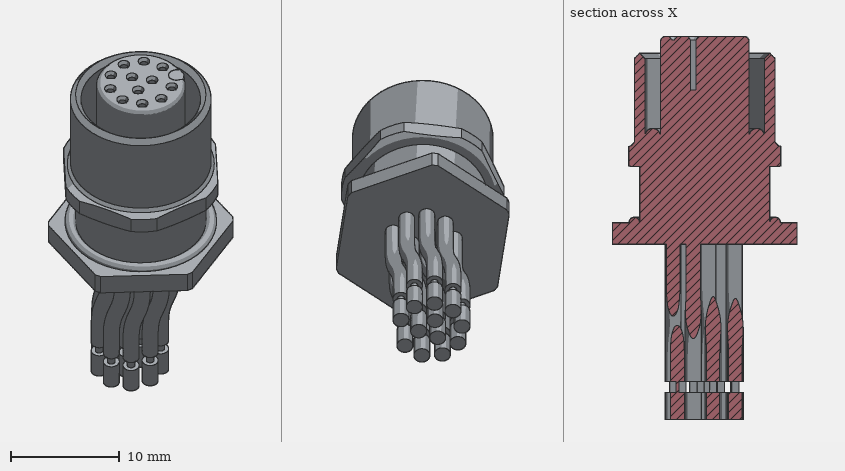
import cadquery as cq
import math

TOTAL_HEIGHT = 35.3
SLEEVE_TOP = 2.5
INSULATION_BOTTOM = 3.5
BEND_BOTTOM = 6.0
BEND_TOP = 12.0
FLANGE_BOTTOM = 16.13
FLANGE_THICKNESS = 2.0
FLANGE_TOP = FLANGE_BOTTOM + FLANGE_THICKNESS
NUT_BOTTOM = 23.3
NUT_THICKNESS = 1.95
NUT_TOP = NUT_BOTTOM + NUT_THICKNESS
BARREL_TOP = 33.75
BORE_FLOOR = 26.12

FLANGE_FLATS = 15.0
FLANGE_TURNED_RADIUS = 17.0 / 2
NECK_RADIUS = 12.0 / 2
SEAL_TUBE_RADIUS = 0.5

NUT_FLATS = 14.0
NUT_TURNED_RADIUS = 15.0 / 2
NUT_FACE_RADIUS = 6.78
NUT_CHAMFER_DROP = 0.2

BARREL_RADIUS = 13.0 / 2
BORE_RADIUS = 11.0 / 2
RIM_CHAMFER = 0.5
COLLAR_RADIUS = 6.78
COLLAR_HEIGHT = 0.32

INSERT_RADIUS = 8.2 / 2
INSERT_FILLET = 0.5
KEY_WIDTH = 1.4
KEY_CENTRE_RADIUS = 3.42
KEY_END_RADIUS = 4.02
KEY_HEIGHT = 1.0
KEY_ANGLE = 45.0
KEY_RECESS = 0.05

OUTER_PITCH_RADIUS = 2.93
OUTER_COUNT = 9
OUTER_STEP = 37.7
INNER_PITCH_RADIUS = 1.1
INNER_COUNT = 3
CONTACT_HOLE_RADIUS = 0.7 / 2
CONTACT_MOUTH_RADIUS = 1.05 / 2
CONTACT_MOUTH_DEPTH = 0.35
CONTACT_DEPTH = 4.95
WIRE_RADIUS = 1.5 / 2
CONDUCTOR_RADIUS = 0.7 / 2
WIRE_SHIFT = 1.15


def cylinder(radius, bottom, top):
    return cq.Workplane("XY").workplane(offset=bottom).circle(radius).extrude(top - bottom)


def cone(bottom_radius, top_radius, bottom, top):
    return cq.Workplane(cq.Solid.makeCone(bottom_radius, top_radius, top - bottom, cq.Vector(0, 0, bottom)))


def seal_ring(inner_radius, tube_radius, height):
    """Disc whose upper face carries a half-round ring outside the inner radius."""
    outer_radius = inner_radius + 2 * tube_radius
    return (
        cq.Workplane("XZ")
        .moveTo(0, height - tube_radius)
        .lineTo(outer_radius, height - tube_radius)
        .lineTo(outer_radius, height)
        .threePointArc((inner_radius + tube_radius, height + tube_radius), (inner_radius, height))
        .lineTo(0, height)
        .close()
        .revolve(360, (0, 0, 0), (0, 1, 0))
    )


def hexagon(across_flats, bottom, top):
    """Hexagonal prism with two corners on the X axis."""
    corner_diameter = across_flats / math.cos(math.radians(30))
    return cq.Workplane("XY").workplane(offset=bottom).polygon(6, corner_diameter).extrude(top - bottom)


def polar(radius, angle):
    return radius * math.cos(math.radians(angle)), radius * math.sin(math.radians(angle))


def contact_positions():
    """Nine contacts on the outer circle, leaving a gap at the key, and three inside."""
    first_angle = KEY_ANGLE + (360 - (OUTER_COUNT - 1) * OUTER_STEP) / 2
    outer = [polar(OUTER_PITCH_RADIUS, first_angle + i * OUTER_STEP) for i in range(OUTER_COUNT)]
    inner = [polar(INNER_PITCH_RADIUS, KEY_ANGLE + i * 360 / INNER_COUNT) for i in range(INNER_COUNT)]
    return outer + inner


def make_flange():
    """Hexagonal plate with flats facing X and its corners turned round."""
    plate = hexagon(FLANGE_FLATS, FLANGE_BOTTOM, FLANGE_TOP).rotate((0, 0, 0), (0, 0, 1), 30)
    return plate.intersect(cylinder(FLANGE_TURNED_RADIUS, FLANGE_BOTTOM, FLANGE_TOP))


def make_nut():
    """Hexagon trimmed by a turned blank that is chamfered on both faces."""
    blank = (
        cq.Workplane("XZ")
        .moveTo(0, NUT_BOTTOM)
        .lineTo(NUT_FACE_RADIUS, NUT_BOTTOM)
        .lineTo(NUT_TURNED_RADIUS, NUT_BOTTOM + NUT_CHAMFER_DROP)
        .lineTo(NUT_TURNED_RADIUS, NUT_TOP - NUT_CHAMFER_DROP)
        .lineTo(NUT_FACE_RADIUS, NUT_TOP)
        .lineTo(0, NUT_TOP)
        .close()
        .revolve(360, (0, 0, 0), (0, 1, 0))
    )
    return hexagon(NUT_FLATS, NUT_BOTTOM, NUT_TOP).intersect(blank)


def make_barrel():
    """Open cup with a rim bevelled to a ridge, and a flared collar at its foot."""
    barrel = cylinder(BARREL_RADIUS, NUT_BOTTOM, BARREL_TOP).faces(">Z").edges().chamfer(RIM_CHAMFER)
    collar = cone(COLLAR_RADIUS, BARREL_RADIUS, NUT_TOP, NUT_TOP + COLLAR_HEIGHT)
    bore = cylinder(BORE_RADIUS, BORE_FLOOR, BARREL_TOP)
    bevel = cone(BORE_RADIUS, BORE_RADIUS + RIM_CHAMFER, BARREL_TOP - RIM_CHAMFER, BARREL_TOP)
    return barrel.union(collar).cut(bore).cut(bevel)


def make_key():
    """Polarising key with a round inner end and a flat outer end near the insert wall."""
    length = KEY_END_RADIUS - KEY_CENTRE_RADIUS
    bottom = TOTAL_HEIGHT - KEY_HEIGHT
    rounded_end = cylinder(KEY_WIDTH / 2, bottom, TOTAL_HEIGHT).translate((KEY_CENTRE_RADIUS, 0, 0))
    straight = (
        cq.Workplane("XY")
        .box(length, KEY_WIDTH, KEY_HEIGHT, centered=(False, True, False))
        .translate((KEY_CENTRE_RADIUS, 0, bottom))
    )
    return rounded_end.union(straight).rotate((0, 0, 0), (0, 0, 1), KEY_ANGLE)


def make_insert():
    """Round contact carrier with a filleted face, its key and the contact holes."""
    insert = cylinder(INSERT_RADIUS, BORE_FLOOR, TOTAL_HEIGHT).faces(">Z").edges().fillet(INSERT_FILLET)
    key = make_key()
    insert = insert.cut(key).union(key.translate((0, 0, -KEY_RECESS)))
    hole = cylinder(CONTACT_HOLE_RADIUS, TOTAL_HEIGHT - CONTACT_DEPTH, TOTAL_HEIGHT).union(
        cone(CONTACT_HOLE_RADIUS, CONTACT_MOUTH_RADIUS, TOTAL_HEIGHT - CONTACT_MOUTH_DEPTH, TOTAL_HEIGHT)
    )
    for x, y in contact_positions():
        insert = insert.cut(hole.translate((x, y, 0)))
    return insert


def make_wire():
    """One wire: insulation with an S-bend, a bare stretch and a loose sleeve at the end."""
    bend_middle = (BEND_TOP + BEND_BOTTOM) / 2
    half_rise = (BEND_TOP - BEND_BOTTOM) / 2
    half_shift = WIRE_SHIFT / 2
    bend_radius = (half_rise**2 + half_shift**2) / (2 * half_shift)
    half_angle = math.asin(half_rise / bend_radius) / 2
    arc_side = bend_radius * (1 - math.cos(half_angle))
    arc_rise = bend_radius * math.sin(half_angle)
    path = (
        cq.Workplane("XZ")
        .moveTo(0, FLANGE_TOP)
        .lineTo(0, BEND_TOP)
        .threePointArc((-arc_side, BEND_TOP - arc_rise), (-half_shift, bend_middle))
        .threePointArc((arc_side - WIRE_SHIFT, BEND_BOTTOM + arc_rise), (-WIRE_SHIFT, BEND_BOTTOM))
        .lineTo(-WIRE_SHIFT, INSULATION_BOTTOM)
    )
    insulation = cq.Workplane("XY").workplane(offset=FLANGE_TOP).circle(WIRE_RADIUS).sweep(path)
    conductor = cylinder(CONDUCTOR_RADIUS, 0, INSULATION_BOTTOM)
    sleeve = cylinder(WIRE_RADIUS, 0, SLEEVE_TOP)
    return insulation.union(conductor.union(sleeve).translate((-WIRE_SHIFT, 0, 0)))


bore_seal_tube_radius = (BORE_RADIUS - INSERT_RADIUS) / 2

result = (
    make_flange()
    .union(seal_ring(NECK_RADIUS, SEAL_TUBE_RADIUS, FLANGE_TOP))
    .union(cylinder(NECK_RADIUS, FLANGE_TOP, NUT_BOTTOM))
    .union(make_nut())
    .union(make_barrel())
    .union(seal_ring(INSERT_RADIUS, bore_seal_tube_radius, BORE_FLOOR))
    .union(make_insert())
)

wire = make_wire()
for x, y in contact_positions():
    result = result.union(wire.translate((x, y, 0)))